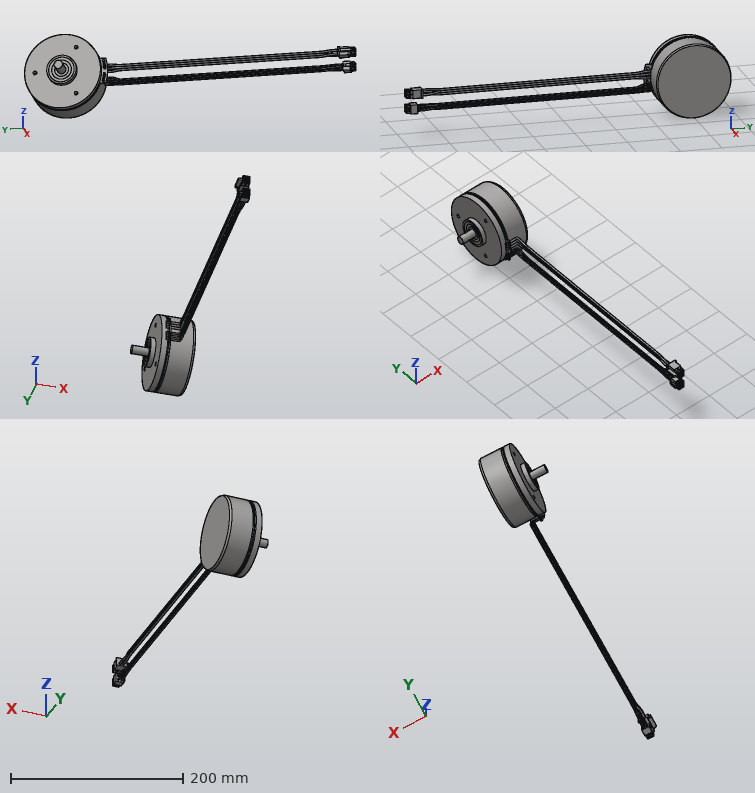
import cadquery as cq
import math


motor_radius = 45.0
flange_thickness = 7.5
board_thickness = 1.5
gap_width = 2.0
gap_depth = 1.0
motor_length = 40.7
rotor_bevel_length = 2.7
rotor_bevel_height = 1.0
shaft_radius = 5.0
shaft_tip_x = -24.5
boss_radius = 17.5
boss_height = 6.0
bearing_step_radii = (15.0, 11.5, 8.0)
bearing_step_depth = 0.5
mount_hole_diameter = 4.3
mount_hole_count = 3
mount_circle_radius = 32.5

tab_outer_radius = 52.0
tab_width = 30.3
solder_circle_radius = 49.0
solder_tail = 3.0

bend_radius = 2.0
lead_length = 1.5
fan_in_y = -66.0
fan_out_y = -300.7
terminal_length = 6.0
wire_embed = 2.0
plug_tip_y = -343.0
plug_center_x = 21.5

power_wire_radius = 1.35
power_center_z = 7.0
power_solder_pitch = 4.0
power_bundle_pitch = 2.52
power_plug_z = 7.8
power_plug_y = -323.2
power_body_length = 11.5
power_body_size = (10.0, 10.0)
power_nose_size = (8.0, 9.0)
power_collar = 1.5
power_collar_length = 2.0
power_latch_reach = 4.3
power_latch_length = 15.0

sensor_wire_radius = 0.97
sensor_solder_z = -9.0
sensor_solder_pitch = 2.15
sensor_bundle_z = -11.0
sensor_bundle_pitch = 1.35
sensor_column_offset = 0.6
sensor_plug_z = -10.5
sensor_terminal_pitch = 2.52
sensor_plug_y = -329.0
sensor_body_length = 8.0
sensor_body_size = (9.7, 11.0)
sensor_nose_size = (8.0, 9.0)
sensor_latch_reach = 2.5
sensor_latch_length = 8.0

post_gap = 1.0
post_tip_chamfer = 0.8
socket_size = 1.5
socket_depth = 6.0
latch_width = 2.7
latch_thickness = 1.0
latch_finger_length = 2.5
latch_hook_slope = 1.5

board_x = flange_thickness
gap_x = board_x + board_thickness
rotor_x = gap_x + gap_width
solder_end_x = board_x - solder_tail


def disc(radius, x_start, x_end):
    """Cylinder on the motor axis between two X positions."""
    return cq.Workplane("YZ", origin=(x_start, 0, 0)).circle(radius).extrude(x_end - x_start)


def box_between(x_range, y_range, z_range):
    """Box given by its start and end along each axis."""
    corners = list(zip(x_range, y_range, z_range))
    sizes = [end - start for start, end in zip(*corners)]
    return cq.Workplane("XY").box(*sizes, centered=False).translate(corners[0])


def row(center, pitch, count):
    """Evenly spaced positions centred on a value, in descending order."""
    return [center + pitch * ((count - 1) / 2 - i) for i in range(count)]


def make_flange():
    flange = disc(motor_radius, 0, flange_thickness).union(disc(boss_radius, -boss_height, 0))
    for level, radius in enumerate(bearing_step_radii, start=1):
        step_floor = -boss_height + level * bearing_step_depth
        flange = flange.cut(disc(radius, -boss_height, step_floor))
    flange = flange.cut(disc(shaft_radius, -boss_height, flange_thickness))
    mount_holes = (
        cq.Workplane("YZ")
        .polarArray(mount_circle_radius, 0, 360, mount_hole_count)
        .circle(mount_hole_diameter / 2)
        .extrude(flange_thickness)
    )
    return flange.cut(mount_holes)


def make_rotor():
    rim = (
        disc(motor_radius, rotor_x, motor_length)
        .faces(">X")
        .chamfer(rotor_bevel_length, rotor_bevel_height)
    )
    neck = disc(motor_radius - gap_depth, gap_x, rotor_x)
    shaft = disc(shaft_radius, shaft_tip_x, gap_x)
    return rim.union(neck).union(shaft)


def solder_point_y(z):
    return -math.sqrt(solder_circle_radius**2 - z**2)


def make_board(solder_rows):
    tab = disc(tab_outer_radius, board_x, gap_x).intersect(
        box_between((board_x, gap_x), (-tab_outer_radius, 0), (-tab_width / 2, tab_width / 2))
    )
    board = disc(motor_radius, board_x, gap_x).union(tab).cut(disc(shaft_radius, board_x, gap_x))
    for wire_radius, heights in solder_rows:
        for z in heights:
            hole = disc(wire_radius, board_x, gap_x).translate((0, solder_point_y(z), z))
            board = board.cut(hole)
    return board


def make_wire(radius, solder_z, bundle_x, bundle_z, plug_x, plug_z, plug_y):
    """Wire from the board along +X, round a bend to -Y, into the bundle and out to the plug."""
    solder_y = solder_point_y(solder_z)
    toward_plug = cq.Vector(0, -1, 0)
    bend_offset = bend_radius * math.sqrt(0.5)
    start = cq.Vector(solder_end_x, solder_y, solder_z)
    bend_start = cq.Vector(bundle_x - bend_radius, solder_y, solder_z)
    bend_middle = bend_start + cq.Vector(bend_offset, bend_offset - bend_radius, 0)
    bend_end = cq.Vector(bundle_x, solder_y - bend_radius, solder_z)
    fan_start = bend_end + toward_plug * lead_length
    bundle_start = cq.Vector(bundle_x, fan_in_y, bundle_z)
    bundle_end = cq.Vector(bundle_x, fan_out_y, bundle_z)
    terminal_start = cq.Vector(plug_x, plug_y + terminal_length, plug_z)
    terminal_end = cq.Vector(plug_x, plug_y - wire_embed, plug_z)
    tangents = [toward_plug, toward_plug]
    path = cq.Wire.assembleEdges([
        cq.Edge.makeLine(start, bend_start),
        cq.Edge.makeThreePointArc(bend_start, bend_middle, bend_end),
        cq.Edge.makeLine(bend_end, fan_start),
        cq.Edge.makeSpline([fan_start, bundle_start], tangents),
        cq.Edge.makeLine(bundle_start, bundle_end),
        cq.Edge.makeSpline([bundle_end, terminal_start], tangents),
        cq.Edge.makeLine(terminal_start, terminal_end),
    ])
    profile = cq.Workplane("YZ", origin=start.toTuple()).circle(radius)
    return profile.sweep(cq.Workplane(path))


def centered_block(center_z, size, y_range):
    """Block centred on the plug, with size along X and Z and a range along Y."""
    width, height = size
    return box_between(
        (plug_center_x - width / 2, plug_center_x + width / 2),
        y_range,
        (center_z - height / 2, center_z + height / 2),
    )


def make_posts(center_z, nose_size, post_rows, base_y):
    """Nose of the plug: a grid of posts with bevelled tips and square sockets."""
    width, height = nose_size
    post_width = (width - post_gap) / 2
    post_height = (height - post_gap * (post_rows - 1)) / post_rows
    post_length = base_y - plug_tip_y
    post = (
        cq.Workplane("XZ")
        .rect(post_width, post_height)
        .extrude(post_length)
        .faces("<Y")
        .edges()
        .chamfer(post_tip_chamfer)
    )
    socket = (
        cq.Workplane("XZ", origin=(0, socket_depth - post_length, 0))
        .rect(socket_size, socket_size)
        .extrude(socket_depth)
    )
    post = post.cut(socket)
    return [
        post.translate((x, base_y, z))
        for x in row(plug_center_x, post_width + post_gap, 2)
        for z in row(center_z, post_height + post_gap, post_rows)
    ]


def make_latch(center_z, body_side_x, nose_side_x, body_end_y, reach, start_y, length):
    """Lever on the -X side of the plug: a free finger, a web to the body and a hook beside the nose."""
    tip_x = body_side_x - reach
    finger_x = tip_x + latch_thickness
    web_y = start_y - latch_finger_length
    end_y = start_y - length
    outline = [
        (body_side_x, web_y),
        (finger_x, web_y),
        (finger_x, start_y),
        (tip_x, start_y),
        (tip_x, end_y),
        (nose_side_x, end_y - latch_hook_slope),
        (nose_side_x, body_end_y),
        (body_side_x, body_end_y),
    ]
    return (
        cq.Workplane("XY", origin=(0, 0, center_z - latch_width / 2))
        .polyline(outline)
        .close()
        .extrude(latch_width)
    )


def make_plug(center_z, start_y, body_length, body_size, nose_size, post_rows, latch_reach, latch_length):
    body_end_y = start_y - body_length
    plug = centered_block(center_z, body_size, (body_end_y, start_y))
    for post in make_posts(center_z, nose_size, post_rows, body_end_y):
        plug = plug.union(post)
    body_side_x = plug_center_x - body_size[0] / 2
    nose_side_x = plug_center_x - nose_size[0] / 2
    latch = make_latch(
        center_z, body_side_x, nose_side_x, body_end_y,
        latch_reach, start_y - latch_thickness, latch_length,
    )
    return plug.union(latch)


power_solder_rows = row(power_center_z, power_solder_pitch, 3)


def make_power_cable():
    cable = make_plug(
        power_plug_z, power_plug_y, power_body_length, power_body_size,
        power_nose_size, 2, power_latch_reach, power_latch_length,
    )
    collar_size = (power_body_size[0] + 2 * power_collar, power_body_size[1])
    collar_range = (power_plug_y - power_collar_length, power_plug_y)
    cable = cable.union(centered_block(power_plug_z, collar_size, collar_range))
    right_x, left_x = row(plug_center_x, power_nose_size[0] / 2, 2)
    top_z, bottom_z = row(power_plug_z, power_nose_size[1] / 2, 2)
    terminals = [(left_x, top_z), (right_x, bottom_z), (left_x, bottom_z)]
    bundle_rows = row(power_center_z, power_bundle_pitch, 3)
    for solder_z, bundle_z, (x, z) in zip(power_solder_rows, bundle_rows, terminals):
        cable = cable.union(
            make_wire(power_wire_radius, solder_z, plug_center_x, bundle_z, x, z, power_plug_y)
        )
    return cable


sensor_solder_rows = row(sensor_solder_z, sensor_solder_pitch, 5)


def make_sensor_cable():
    cable = make_plug(
        sensor_plug_z, sensor_plug_y, sensor_body_length, sensor_body_size,
        sensor_nose_size, 3, sensor_latch_reach, sensor_latch_length,
    )
    right_x, left_x = row(plug_center_x, sensor_nose_size[0] / 2, 2)
    top_z, middle_z, bottom_z = row(sensor_plug_z, sensor_terminal_pitch, 3)
    terminals = [
        (left_x, top_z), (right_x, top_z), (left_x, middle_z), (right_x, bottom_z), (left_x, bottom_z),
    ]
    bundle_rows = row(sensor_bundle_z, sensor_bundle_pitch, 5)
    for i, (solder_z, bundle_z, (x, z)) in enumerate(zip(sensor_solder_rows, bundle_rows, terminals)):
        column_side = -1 if i % 2 == 0 else 1
        bundle_x = plug_center_x + column_side * sensor_column_offset
        cable = cable.union(
            make_wire(sensor_wire_radius, solder_z, bundle_x, bundle_z, x, z, sensor_plug_y)
        )
    return cable


flange = make_flange()
rotor = make_rotor()
board = make_board([
    (power_wire_radius, power_solder_rows),
    (sensor_wire_radius, sensor_solder_rows),
])
power_cable = make_power_cable()
sensor_cable = make_sensor_cable()

result = cq.Compound.makeCompound([
    flange.val(),
    board.val(),
    rotor.val(),
    power_cable.val(),
    sensor_cable.val(),
])